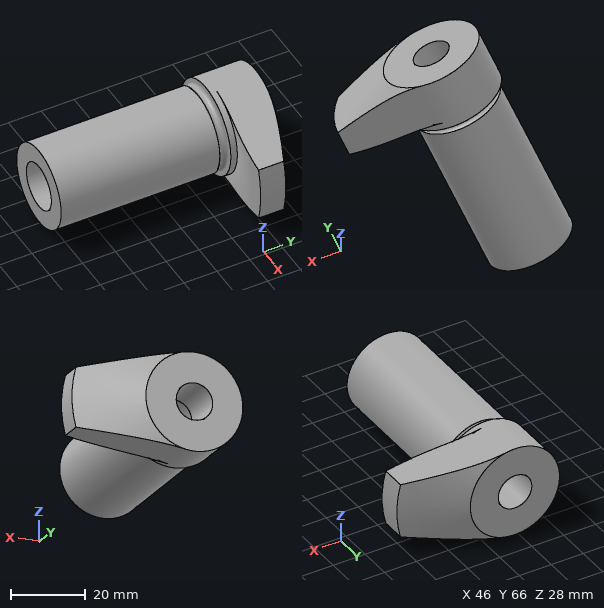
import cadquery as cq
import math

total_length = 66.0
head_diameter = 28.0
head_length = 15.2
tube_diameter = 25.0

bore_diameter = 10.5
counterbore_diameter = 14.0

groove_width = 2.5
groove_depth = 1.0

arm_reach = 32.0
arm_taper_angle = 10.5
arm_top_drop = 8.2
arm_root_thickness = 13.2
arm_bottom_drop = 15.9

head_radius = head_diameter / 2
tube_radius = tube_diameter / 2
head_start = total_length - head_length
groove_start = head_start - groove_width
counterbore_depth = head_start


def make_body():
    """Revolve the tube, relief groove and round head about the Y axis."""
    profile = (
        cq.Workplane("XY")
        .lineTo(tube_radius, 0)
        .lineTo(tube_radius, groove_start)
        .threePointArc(
            (tube_radius - groove_depth, groove_start + groove_width / 2),
            (tube_radius, head_start),
        )
        .lineTo(head_radius, head_start)
        .lineTo(head_radius, total_length)
        .lineTo(0, total_length)
        .close()
    )
    return profile.revolve(360, (0, 0, 0), (0, 1, 0))


def make_arm_outline():
    """Prism with flat sides tangent to the head and a tip concentric with it."""
    taper = math.radians(arm_taper_angle)
    tangent_x = head_radius * math.sin(taper)
    tangent_z = head_radius * math.cos(taper)
    side_length = math.sqrt(arm_reach**2 - head_radius**2)
    tip_x = tangent_x + side_length * math.cos(taper)
    tip_z = tangent_z - side_length * math.sin(taper)
    return (
        cq.Workplane("XZ")
        .moveTo(tangent_x, tangent_z)
        .lineTo(tip_x, tip_z)
        .threePointArc((arm_reach, 0), (tip_x, -tip_z))
        .lineTo(tangent_x, -tangent_z)
        .threePointArc((-head_radius, 0), (tangent_x, tangent_z))
        .close()
        .extrude(-total_length)
    )


def make_arm_envelope():
    """Solid of revolution with a conical top and an underside arc that is level at the tip."""
    root_y = total_length - arm_root_thickness
    tip_bottom_y = total_length - arm_bottom_drop
    tip_top_y = total_length - arm_top_drop
    run = arm_reach - head_radius
    rise = root_y - tip_bottom_y
    arc_radius = (run**2 + rise**2) / (2 * rise)
    half_angle = math.asin(run / arc_radius) / 2
    underside_middle = (
        arm_reach - arc_radius * math.sin(half_angle),
        tip_bottom_y + arc_radius * (1 - math.cos(half_angle)),
    )
    return (
        cq.Workplane("XY")
        .moveTo(0, root_y)
        .lineTo(0, total_length)
        .lineTo(head_radius, total_length)
        .lineTo(arm_reach, tip_top_y)
        .lineTo(arm_reach, tip_bottom_y)
        .threePointArc(underside_middle, (head_radius, root_y))
        .close()
        .revolve(360, (0, 0, 0), (0, 1, 0))
    )


def make_bore():
    """Through bore, widened along the whole tube."""
    through = cq.Workplane("XZ").circle(bore_diameter / 2).extrude(-total_length)
    counterbore = cq.Workplane("XZ").circle(counterbore_diameter / 2).extrude(-counterbore_depth)
    return through.union(counterbore)


arm = make_arm_outline().intersect(make_arm_envelope())
result = make_body().union(arm).cut(make_bore())